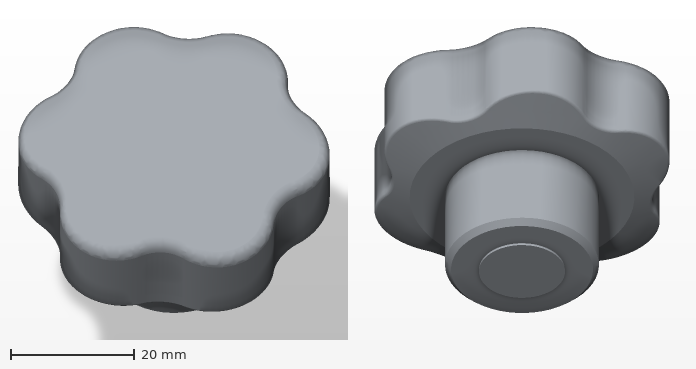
import cadquery as cq
import math

lobe_count = 6
overall_radius = 25.35
lobe_radius = 9.5
valley_radius = 21.25
overall_height = 33.35
dome_radius = 162.2
rim_fillet = 2.0
head_bottom = 15.25
underside_radius = 18.25
underside_rise = 2.2
lower_edge_fillet = 0.5
hub_radius = 25.0 / 2
hub_bottom = 0.4
hub_chamfer = 0.95
insert_radius = 14.0 / 2

lobe_center = overall_radius - lobe_radius
half_pitch = math.pi / lobe_count
lobe_along_scallop = lobe_center * math.cos(half_pitch)
scallop_radius = (
    (lobe_center**2 + valley_radius**2 - 2 * valley_radius * lobe_along_scallop - lobe_radius**2)
    / (2 * (lobe_radius - valley_radius + lobe_along_scallop))
)
scallop_center = valley_radius + scallop_radius


def polar(radius, angle):
    return radius * math.cos(angle), radius * math.sin(angle)


def tangent_point(lobe_angle, side):
    """Point where a lobe meets the scallop on its left (+1) or right (-1)."""
    lobe_x, lobe_y = polar(lobe_center, lobe_angle)
    scallop_x, scallop_y = polar(scallop_center, lobe_angle + side * half_pitch)
    share = lobe_radius / (lobe_radius + scallop_radius)
    return lobe_x + share * (scallop_x - lobe_x), lobe_y + share * (scallop_y - lobe_y)


def lobed_prism():
    """Full-height prism with the six-lobed outline; one lobe points along +Y."""
    first_angle = math.pi / 2
    outline = cq.Workplane("XY").moveTo(*tangent_point(first_angle, -1))
    for index in range(lobe_count):
        angle = first_angle + 2 * half_pitch * index
        outline = outline.threePointArc(polar(overall_radius, angle), tangent_point(angle, 1))
        next_start = tangent_point(angle + 2 * half_pitch, -1)
        outline = outline.threePointArc(polar(valley_radius, angle + half_pitch), next_start)
    return outline.close().extrude(overall_height)


def underside_blank():
    """Turned blank with a flat ring and a cone below."""
    reach = overall_radius + lobe_radius
    slope = underside_rise / (overall_radius - underside_radius)
    cone_edge = head_bottom + slope * (reach - underside_radius)
    return (
        cq.Workplane("XZ")
        .moveTo(0, head_bottom)
        .lineTo(underside_radius, head_bottom)
        .lineTo(reach, cone_edge)
        .lineTo(reach, overall_height)
        .lineTo(0, overall_height)
        .close()
        .revolve(360, (0, 0), (0, 1))
    )


def dome_ball():
    """Ball whose top forms the shallow dome, turned so its seam lies underneath."""
    ball = cq.Workplane("XY").sphere(dome_radius).rotate((0, 0, 0), (0, 1, 0), 90)
    return ball.translate((0, 0, overall_height - dome_radius))


def head():
    body = lobed_prism().intersect(underside_blank()).intersect(dome_ball())
    body = body.faces("%SPHERE").edges().fillet(rim_fillet)
    return body.faces("%CONE").edges("not %CIRCLE").fillet(lower_edge_fillet)


def hub():
    return (
        cq.Workplane("XY", origin=(0, 0, hub_bottom))
        .circle(hub_radius)
        .extrude(head_bottom - hub_bottom)
        .faces("<Z")
        .chamfer(hub_chamfer)
    )


def insert():
    """Round insert whose end stands slightly proud of the hub."""
    return cq.Workplane("XY").circle(insert_radius).extrude(head_bottom)


result = head().union(hub()).union(insert())